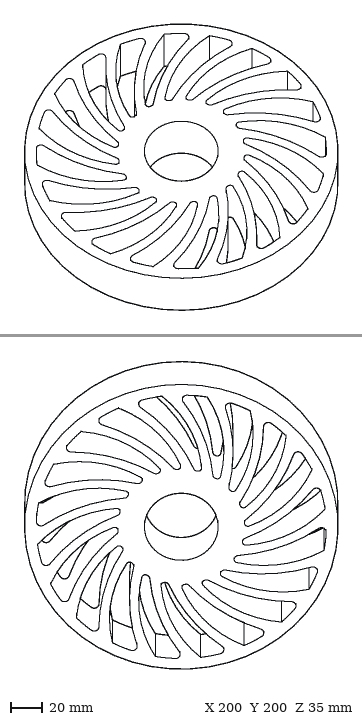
import cadquery as cq
import math

wheel_diameter = 200.0
wheel_thickness = 35.0
bore_diameter = 47.0

window_count = 20
window_inner_radius = 40.5
window_outer_diameter = 185.0
window_outer_radius = window_outer_diameter / 2
convex_side_radius = 74.5
concave_side_radius = 104.0
inner_tip_fillet = 2.2
outer_tip_fillet = 3.0

convex_inner_angle = 29.8
concave_inner_angle = 23.0
convex_outer_angle = 3.2
concave_outer_angle = -8.6


def polar_point(radius, angle):
    """Point at a given radius and angle (degrees) from the wheel axis."""
    radians = math.radians(angle)
    return (radius * math.cos(radians), radius * math.sin(radians))


def make_window():
    """Through-cutter for one window, bounded by four arcs, with three rounded corners."""
    convex_inner = polar_point(window_inner_radius, convex_inner_angle)
    concave_inner = polar_point(window_inner_radius, concave_inner_angle)
    convex_outer = polar_point(window_outer_radius, convex_outer_angle)
    concave_outer = polar_point(window_outer_radius, concave_outer_angle)
    middle_outer = polar_point(window_outer_radius, (convex_outer_angle + concave_outer_angle) / 2)
    middle_inner = polar_point(window_inner_radius, (convex_inner_angle + concave_inner_angle) / 2)

    window = (
        cq.Workplane("XY")
        .moveTo(*concave_outer)
        .threePointArc(middle_outer, convex_outer)
        .radiusArc(convex_inner, -convex_side_radius)
        .threePointArc(middle_inner, concave_inner)
        .radiusArc(concave_outer, concave_side_radius)
        .close()
        .extrude(wheel_thickness)
    )

    def corner_edge(point):
        return cq.selectors.NearestToPointSelector((*point, wheel_thickness / 2))

    inner_corners = corner_edge(convex_inner) + corner_edge(concave_inner)
    window = window.edges(inner_corners).fillet(inner_tip_fillet)
    return window.edges(corner_edge(concave_outer)).fillet(outer_tip_fillet)


result = (
    cq.Workplane("XY")
    .circle(wheel_diameter / 2)
    .circle(bore_diameter / 2)
    .extrude(wheel_thickness)
)

window = make_window()
for index in range(window_count):
    turned_window = window.rotate((0, 0, 0), (0, 0, 1), index * 360 / window_count)
    result = result.cut(turned_window)